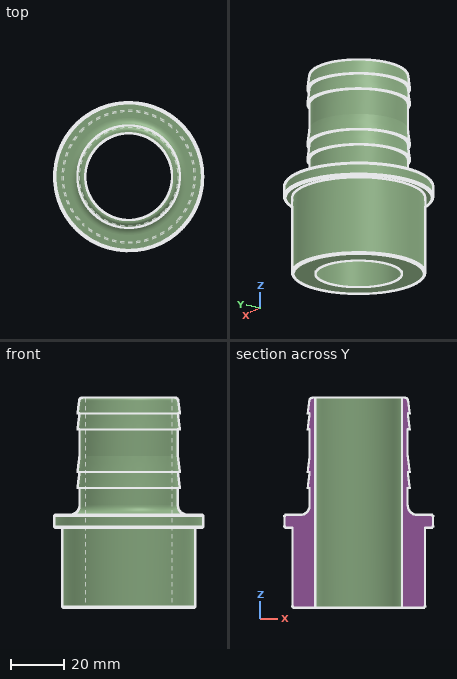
import cadquery as cq
import math

sleeve_height = 30.0
flange_thickness = 5.0
lower_neck_height = 10.0
upper_neck_height = 10.0
barb_height = 6.0
barbs_per_group = 2

bore_diameter = 32.5
neck_diameter = 37.0
barb_diameter = 38.5
sleeve_diameter = 50.0
flange_diameter = 56.0

edge_chamfer = 0.5
neck_fillet = 3.5
tip_fillet = 1.5

bore_radius = bore_diameter / 2
neck_radius = neck_diameter / 2
barb_radius = barb_diameter / 2
flange_top = sleeve_height + flange_thickness
barb_group_height = barbs_per_group * barb_height
lower_barbs_base = flange_top + lower_neck_height
upper_barbs_base = lower_barbs_base + barb_group_height + upper_neck_height
total_height = upper_barbs_base + barb_group_height


def chamfered_disc(diameter, height, base, chamfered_edges):
    """Cylinder standing on the base level with the selected rims chamfered."""
    disc = cq.Workplane("XY", origin=(0, 0, base)).circle(diameter / 2).extrude(height)
    return disc.edges(chamfered_edges).chamfer(edge_chamfer)


def add_barb_group(profile, base):
    """Continue the half profile up a stack of barbs, each widest at its lower edge."""
    for index in range(barbs_per_group):
        barb_base = base + index * barb_height
        profile = profile.lineTo(barb_radius, barb_base)
        profile = profile.lineTo(neck_radius, barb_base + barb_height)
    return profile


def hose_tail():
    """Neck with a flared root and two barb groups, rounded at its tip."""
    arc_offset = neck_fillet * (1 - math.sqrt(0.5))
    profile = (
        cq.Workplane("XZ")
        .moveTo(0, flange_top)
        .lineTo(neck_radius + neck_fillet, flange_top)
        .threePointArc(
            (neck_radius + arc_offset, flange_top + arc_offset),
            (neck_radius, flange_top + neck_fillet),
        )
        .lineTo(neck_radius, lower_barbs_base)
    )
    profile = add_barb_group(profile, lower_barbs_base)
    profile = profile.lineTo(neck_radius, upper_barbs_base)
    profile = add_barb_group(profile, upper_barbs_base)
    tail = profile.lineTo(0, total_height).close().revolve(360, (0, 0, 0), (0, 1, 0))
    return tail.faces(">Z").edges().fillet(tip_fillet)


sleeve = chamfered_disc(sleeve_diameter, sleeve_height, 0, "<Z")
flange = chamfered_disc(flange_diameter, flange_thickness, sleeve_height, "%CIRCLE")
bore = cq.Workplane("XY").circle(bore_radius).extrude(total_height)

result = sleeve.union(flange).union(hose_tail()).cut(bore)